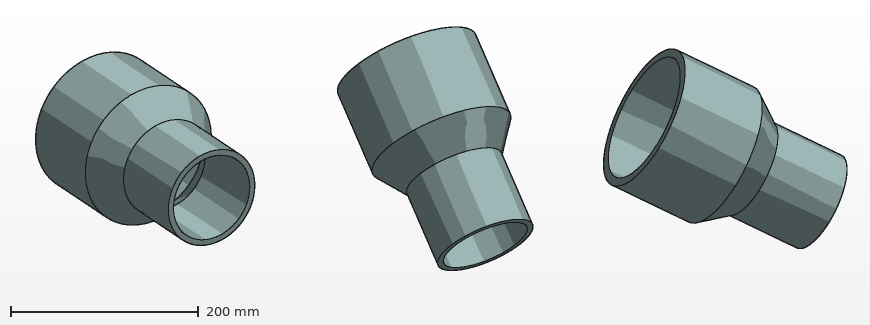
import cadquery as cq

total_length = 222.0
wide_length = 98.0
narrow_length = 88.0
wide_outer_radius = 160.0 / 2
wide_bore_radius = 141.0 / 2
narrow_outer_radius = 110.0 / 2
narrow_bore_radius = 96.8 / 2

taper_start = wide_length
taper_end = total_length - narrow_length


def reducer_body(wide_radius, narrow_radius):
    """Solid of revolution: wide cylinder, conical taper, narrow cylinder."""
    return (
        cq.Workplane("XY")
        .lineTo(0, wide_radius)
        .lineTo(taper_start, wide_radius)
        .lineTo(taper_end, narrow_radius)
        .lineTo(total_length, narrow_radius)
        .lineTo(total_length, 0)
        .close()
        .revolve(360, (0, 0, 0), (1, 0, 0))
    )


outer_body = reducer_body(wide_outer_radius, narrow_outer_radius)
bore = reducer_body(wide_bore_radius, narrow_bore_radius)
result = outer_body.cut(bore)